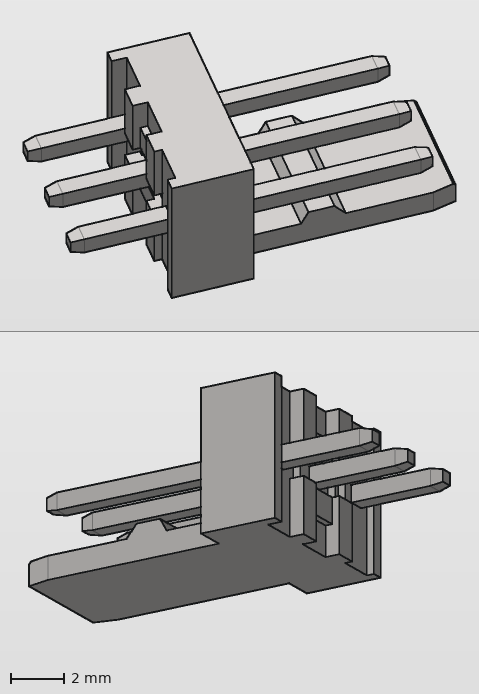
import cadquery as cq


block_width = 7.58
block_depth = 3.24
block_height = 5.8
front_y = -block_depth
bottom_z = -block_height / 2

rail_width = 0.49
rib_outer_x = 1.73
rib_inner_x = 0.81
deep_pocket = 0.6
shallow_pocket = 0.3
center_pad_height = 3.28

slot_height = 1.15
window_outer_x = 1.5
window_inner_x = 0.98

tab_length = 8.46
tab_width = 5.03
tab_end_width = 4.6
tab_taper_length = 0.97
tab_thickness = 0.97
tab_end_chamfer = 0.1
root_chamfer = 0.2

ridge_height = 0.52
ridge_front_foot = 2.29
ridge_front_top = 2.58
ridge_rear_top = 3.6
ridge_rear_foot = 4.05

pin_count = 3
pin_pitch = 2.53
pin_size = 0.7
pin_tip_size = 0.5
pin_tip_length = 0.5
pin_front_length = 3.65
pin_rear_length = 7.38
pin_front_y = front_y - pin_front_length
pin_positions = [(i - (pin_count - 1) / 2) * pin_pitch for i in range(pin_count)]


def box_between(x_min, x_max, y_min, y_max, height):
    """Box spanning the given X and Y ranges, centred on Z = 0."""
    return (
        cq.Workplane("XY")
        .box(x_max - x_min, y_max - y_min, height)
        .translate(((x_min + x_max) / 2, (y_min + y_max) / 2, 0))
    )


def front_cut(x_min, x_max, depth, height=block_height):
    """Cutter that sinks into the front face of the block."""
    return box_between(x_min, x_max, front_y, front_y + depth, height)


def make_block():
    block = box_between(-block_width / 2, block_width / 2, front_y, 0, block_height)

    pocket_outer_x = block_width / 2 - rail_width
    block = block.cut(front_cut(-pocket_outer_x, -rib_outer_x, deep_pocket))
    block = block.cut(front_cut(rib_outer_x, pocket_outer_x, shallow_pocket))

    center_cut = front_cut(-rib_inner_x, rib_inner_x, deep_pocket)
    pad = box_between(
        -rib_inner_x, rib_inner_x, front_y + shallow_pocket, front_y + deep_pocket, center_pad_height
    )
    block = block.cut(center_cut.cut(pad))

    block = block.cut(front_cut(-rib_outer_x, rib_outer_x, deep_pocket, slot_height))
    for x_min in (-window_outer_x, window_inner_x):
        x_max = x_min + window_outer_x - window_inner_x
        block = block.cut(front_cut(x_min, x_max, block_depth, slot_height))
    return block


def make_tab():
    top_z = bottom_z + tab_thickness
    profile = (
        cq.Workplane("YZ")
        .moveTo(0, bottom_z)
        .lineTo(0, top_z + root_chamfer)
        .lineTo(root_chamfer, top_z)
        .lineTo(ridge_front_foot, top_z)
        .lineTo(ridge_front_top, top_z + ridge_height)
        .lineTo(ridge_rear_top, top_z + ridge_height)
        .lineTo(ridge_rear_foot, top_z)
        .lineTo(tab_length - tab_end_chamfer, top_z)
        .lineTo(tab_length, top_z - tab_end_chamfer)
        .lineTo(tab_length, bottom_z)
        .close()
        .extrude(tab_width / 2, both=True)
    )
    plan = (
        cq.Workplane("XY")
        .workplane(offset=bottom_z)
        .moveTo(-tab_width / 2, 0)
        .lineTo(-tab_width / 2, tab_length - tab_taper_length)
        .lineTo(-tab_end_width / 2, tab_length)
        .lineTo(tab_end_width / 2, tab_length)
        .lineTo(tab_width / 2, tab_length - tab_taper_length)
        .lineTo(tab_width / 2, 0)
        .close()
        .extrude(block_height)
    )
    return profile.intersect(plan)


def make_pin_tip(base_y, direction):
    """Tapered pin end that starts at base_y and points along +Y or -Y."""
    base = cq.Plane(origin=(0, base_y, 0), xDir=(1, 0, 0), normal=(0, direction, 0))
    return (
        cq.Workplane(base)
        .rect(pin_size, pin_size)
        .workplane(offset=pin_tip_length)
        .rect(pin_tip_size, pin_tip_size)
        .loft(ruled=True)
    )


def make_pin(x):
    shank_front_y = pin_front_y + pin_tip_length
    shank_rear_y = pin_rear_length - pin_tip_length
    shank = box_between(-pin_size / 2, pin_size / 2, shank_front_y, shank_rear_y, pin_size)
    pin = shank.union(make_pin_tip(shank_front_y, -1)).union(make_pin_tip(shank_rear_y, 1))
    return pin.translate((x, 0, 0))


pins = [make_pin(x) for x in pin_positions]

housing = make_block().union(make_tab())
for pin in pins:
    housing = housing.cut(pin)

result = cq.Compound.makeCompound([housing.val(), *[pin.val() for pin in pins]])